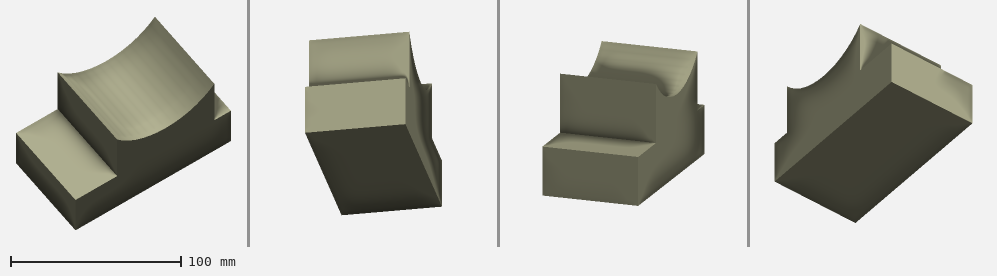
import cadquery as cq

width = 60.0
length = 112.0
height = 66.2

base_height = 30.0
front_ledge = 30.0
back_ledge = 12.0

saddle_floor = 50.0

block_front = front_ledge
block_back = length - back_ledge
block_middle = (block_front + block_back) / 2

result = (
    cq.Workplane("YZ")
    .moveTo(0, 0)
    .lineTo(length, 0)
    .lineTo(length, base_height)
    .lineTo(block_back, base_height)
    .lineTo(block_back, height)
    .threePointArc((block_middle, saddle_floor), (block_front, height))
    .lineTo(block_front, base_height)
    .lineTo(0, base_height)
    .close()
    .extrude(width)
)